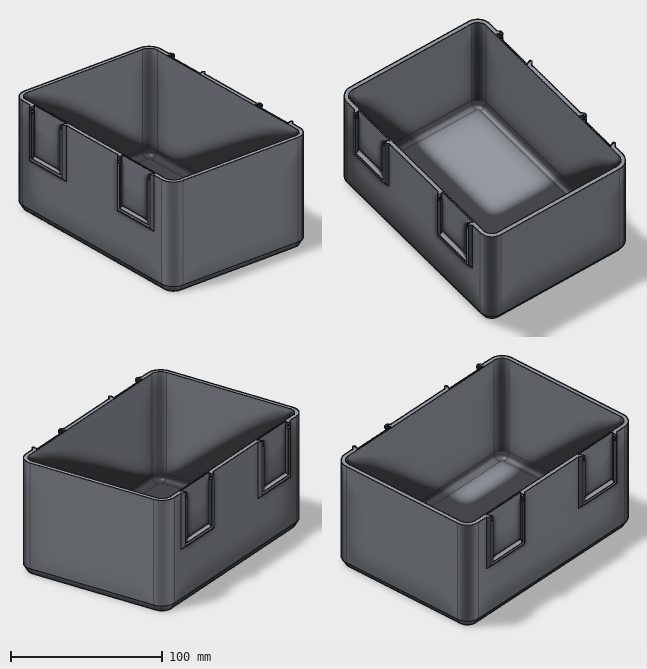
import cadquery as cq

length = 166.0
height = 83.0
overall_width = 122.0
pad_rise = 2.0
body_width = overall_width - 2 * pad_rise
wall = 3.0
floor_thickness = 3.0
corner_radius = 10.0
floor_fillet = 5.0
base_chamfer_height = 5.0
base_chamfer_inset = 3.0

pad_offset = 46.0
pad_width = 38.0
pad_height = 41.8
pad_face_width = pad_width - 2 * pad_rise

pocket_depth = 4.0
mouth_width = 30.0
pocket_floor_width = 34.0
lip_land = 1.0
pocket_height = 37.7

lip_chamfer_width = 1.3
lip_chamfer_height = 0.5
notch_inset = 0.7
notch_top = 2.0
notch_height = 2.2

outer_y = overall_width / 2
body_y = body_width / 2


def make_box():
    """Open box with rounded corners, a chamfered base and a filleted floor."""
    body = (
        cq.Workplane("XY")
        .box(length, body_width, height, centered=(True, True, False))
        .edges("|Z").fillet(corner_radius)
        .faces("<Z").chamfer(base_chamfer_height, base_chamfer_inset)
    )
    cavity = (
        cq.Workplane("XY", origin=(0, 0, floor_thickness))
        .box(length - 2 * wall, body_width - 2 * wall, height, centered=(True, True, False))
        .edges("|Z").fillet(corner_radius - wall)
        .faces("<Z").edges().fillet(floor_fillet)
    )
    return body.cut(cavity)


def make_pad():
    """Raised pad on the -Y side whose sides and lower edge slope to its face."""
    slab = (
        cq.Workplane("XY", origin=(0, -body_y, height - pad_height))
        .polyline([
            (-pad_width / 2, 0),
            (-pad_face_width / 2, -pad_rise),
            (pad_face_width / 2, -pad_rise),
            (pad_width / 2, 0),
            (pad_width / 2, wall / 2),
            (-pad_width / 2, wall / 2),
        ])
        .close().extrude(pad_height)
    )
    lower_slope = (
        cq.Workplane("YZ", origin=(0, -outer_y, height - pad_height))
        .polyline([(0, 0), (pad_rise, 0), (0, pad_rise)])
        .close().extrude(pad_width / 2, both=True)
    )
    return slab.cut(lower_slope)


def make_pocket():
    """Pocket open at the top, with undercut sides, chamfered lip ends and notches."""
    dovetail = (
        cq.Workplane("XY", origin=(0, -outer_y, height - pocket_height))
        .polyline([
            (-mouth_width / 2, 0),
            (-mouth_width / 2, lip_land),
            (-pocket_floor_width / 2, pocket_depth),
            (pocket_floor_width / 2, pocket_depth),
            (mouth_width / 2, lip_land),
            (mouth_width / 2, 0),
        ])
        .close().extrude(pocket_height)
    )
    lip_chamfers = (
        cq.Workplane("XZ", origin=(0, -outer_y, height))
        .polyline([
            (-mouth_width / 2 - lip_chamfer_width, 0),
            (-mouth_width / 2, -lip_chamfer_height),
            (mouth_width / 2, -lip_chamfer_height),
            (mouth_width / 2 + lip_chamfer_width, 0),
        ])
        .close().extrude(-pocket_depth)
    )
    notches = cq.Workplane("XY", origin=(0, -outer_y, height - notch_top - notch_height)).box(
        mouth_width + 2 * notch_inset, pocket_depth, notch_height, centered=(True, False, False)
    )
    return dovetail.union(lip_chamfers).union(notches)


result = make_box()
pad = make_pad()
pocket = make_pocket()
for side_angle in (0, 180):
    for x in (-pad_offset, pad_offset):
        placed_pad = pad.translate((x, 0, 0)).rotate((0, 0, 0), (0, 0, 1), side_angle)
        placed_pocket = pocket.translate((x, 0, 0)).rotate((0, 0, 0), (0, 0, 1), side_angle)
        result = result.union(placed_pad).cut(placed_pocket)